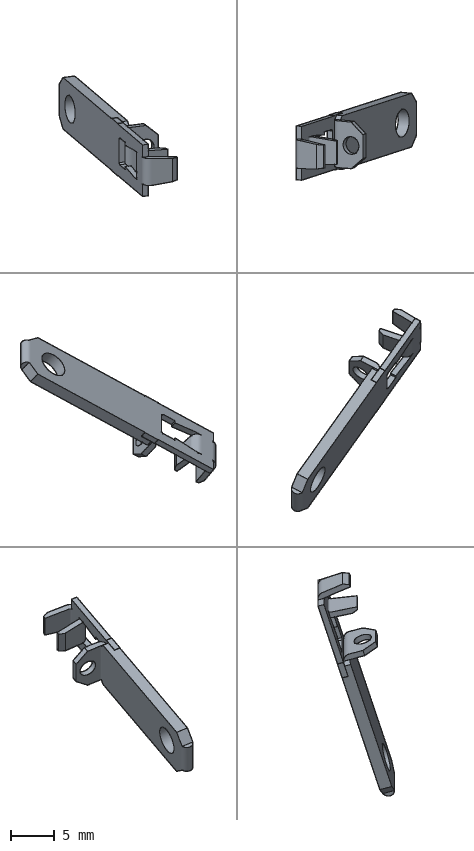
import cadquery as cq
import math


total_length = 27.57
sheet = 0.72
strip_width = 6.23
front_end_x = 26.52

fold_radius = sheet
fold_width = 3.8
fold_corner_x = 0.52
corner_run = (strip_width - fold_width) / 2

hole_diameter = 3.2
hole_x = 3.95

lug_width = 5.4
lug_face_x = 19.35
lug_height = 4.75
lug_inner_radius = 0.17
lug_shoulder_y = 3.23
lug_tip_width = 2.75
lug_hole_diameter = 2.05
lug_hole_y = 3.2
neck_run = (strip_width - lug_width) / 2

pad_start_x = 16.85
pad_length = 1.87
pad_width = 0.63
pad_overhang = 0.05

prong_width = 3.25
prong_tip_width = 2.67
prong_lean = math.radians(6.5)
prong_inner_radius = 0.22
prong_outer_radius = prong_inner_radius + sheet
prong_straight = 3.1
prong_bevel_inset = sheet / 2
prong_bevel_angle = math.radians(28)
prong_bevel_length = prong_bevel_inset / math.tan(prong_bevel_angle)
prong_shoulder = prong_straight - prong_bevel_length
prong_reach = prong_outer_radius * math.cos(prong_lean) + prong_shoulder * math.sin(prong_lean)
inner_prong_x = 24.8
outer_prong_x = total_length - prong_reach

window_start_x = 19.2
window_corner = 0.2
window_step_x = 21.1
window_step_width = 2.55
window_taper_end_x = 23.85


def plate(outline, thickness):
    """Thicken an XZ outline from y = 0 toward +Y."""
    return cq.Workplane("XZ").polyline(outline).close().extrude(-thickness)


def bar(profile, width):
    """Extrude an XY profile equally to both sides of z = 0."""
    return profile.extrude(width / 2, both=True)


def mirrored(half_outline):
    """Complete an outline given by its half with a positive second coordinate."""
    return half_outline + [(u, -v) for u, v in reversed(half_outline)]


def folded_strip():
    """Two touching layers with a round fold, clipped corners and a narrowed neck."""
    neck_end_x = lug_face_x - sheet
    bend_x = neck_end_x - lug_inner_radius
    centre_y = 2 * sheet + lug_inner_radius
    outer_radius = lug_inner_radius + sheet
    diagonal = math.sqrt(0.5)

    profile = (
        cq.Workplane("XY")
        .moveTo(fold_radius, 0)
        .lineTo(front_end_x, 0)
        .lineTo(front_end_x, sheet)
        .lineTo(bend_x, sheet)
        .threePointArc(
            (bend_x + outer_radius * diagonal, centre_y - outer_radius * diagonal),
            (lug_face_x, centre_y),
        )
        .lineTo(lug_face_x, lug_height)
        .lineTo(neck_end_x, lug_height)
        .lineTo(neck_end_x, centre_y)
        .threePointArc(
            (bend_x + lug_inner_radius * diagonal, centre_y - lug_inner_radius * diagonal),
            (bend_x, 2 * sheet),
        )
        .lineTo(fold_radius, 2 * sheet)
        .threePointArc((0, fold_radius), (fold_radius, 0))
        .close()
    )
    strip = bar(profile, strip_width)

    body_outline = mirrored([
        (0, fold_width / 2),
        (fold_corner_x, fold_width / 2),
        (fold_corner_x + corner_run, strip_width / 2),
        (front_end_x, strip_width / 2),
    ])
    strip = strip.intersect(plate(body_outline, lug_height))

    neck_start_x = neck_end_x - neck_run
    for side in (1, -1):
        neck_waste = plate(
            [
                (neck_start_x, side * strip_width / 2),
                (neck_end_x, side * lug_width / 2),
                (front_end_x, side * lug_width / 2),
                (front_end_x, side * strip_width / 2),
            ],
            lug_height,
        ).translate((0, sheet, 0))
        strip = strip.cut(neck_waste)

    lug_outline = mirrored([
        (0, strip_width / 2),
        (2 * sheet, strip_width / 2),
        (2 * sheet, lug_width / 2),
        (lug_shoulder_y, lug_width / 2),
        (lug_height, lug_tip_width / 2),
    ])
    strip = strip.intersect(
        cq.Workplane("YZ").polyline(lug_outline).close().extrude(front_end_x)
    )

    lug_hole = (
        cq.Workplane("YZ", origin=(neck_end_x, 0, 0))
        .center(lug_hole_y, 0)
        .circle(lug_hole_diameter / 2)
        .extrude(sheet)
    )
    return strip.cut(lug_hole)


def round_hole():
    """Cylinder through both layers near the fold."""
    return cq.Workplane("XZ").center(hole_x, 0).circle(hole_diameter / 2).extrude(-2 * sheet)


def window():
    """Opening with clipped corners and a stepped, tapering waist."""
    outline = mirrored([
        (window_start_x, prong_width / 2 - window_corner),
        (window_start_x + window_corner, prong_width / 2),
        (window_step_x, prong_width / 2),
        (window_step_x, window_step_width / 2),
        (window_taper_end_x, prong_width / 2),
        (inner_prong_x, prong_width / 2),
    ])
    return plate(outline, sheet)


def end_notch():
    """Room for the bend of the outer prong in the edge of the front layer."""
    return cq.Workplane("XY").box(
        front_end_x - outer_prong_x, sheet, prong_width, centered=(False, False, True)
    ).translate((outer_prong_x, 0, 0))


def prong(bend_x, direction):
    """Tapered prong bent up from bend_x, leaning toward direction (+1 or -1) along X."""
    bend_angle = math.pi / 2 - prong_lean

    def on_bend(radius, angle):
        return (radius * math.sin(angle), prong_outer_radius - radius * math.cos(angle))

    def along(point, distance, angle):
        return (point[0] + distance * math.cos(angle), point[1] + distance * math.sin(angle))

    outer_foot = on_bend(prong_outer_radius, bend_angle)
    inner_foot = on_bend(prong_inner_radius, bend_angle)
    outer_shoulder = along(outer_foot, prong_shoulder, bend_angle)
    inner_tip = along(inner_foot, prong_straight, bend_angle)
    outer_tip = along(inner_tip, sheet - prong_bevel_inset, -prong_lean)

    profile = (
        cq.Workplane("XY")
        .moveTo(0, 0)
        .threePointArc(on_bend(prong_outer_radius, bend_angle / 2), outer_foot)
        .lineTo(*outer_shoulder)
        .lineTo(*outer_tip)
        .lineTo(*inner_tip)
        .lineTo(*inner_foot)
        .threePointArc(on_bend(prong_inner_radius, bend_angle / 2), (0, sheet))
        .close()
    )

    face_outline = mirrored([
        (0, prong_width / 2),
        (inner_foot[1], prong_width / 2),
        (inner_tip[1], prong_tip_width / 2),
    ])
    taper = cq.Workplane("YZ").polyline(face_outline).close().extrude(prong_reach)
    blade = bar(profile, prong_width).intersect(taper)

    if direction < 0:
        blade = blade.mirror("YZ")
    return blade.translate((bend_x, 0, 0))


def side_pad(side):
    """Pad that stands slightly proud of one long edge of the front layer."""
    centre_z = side * (strip_width / 2 + pad_overhang - pad_width / 2)
    return cq.Workplane("XY").box(
        pad_length, sheet, pad_width, centered=(False, False, True)
    ).translate((pad_start_x, 0, centre_z))


result = folded_strip().cut(round_hole()).cut(window()).cut(end_notch())
result = result.union(prong(inner_prong_x, -1)).union(prong(outer_prong_x, 1))

for pad_side in (1, -1):
    result = result.union(side_pad(pad_side), clean=False)